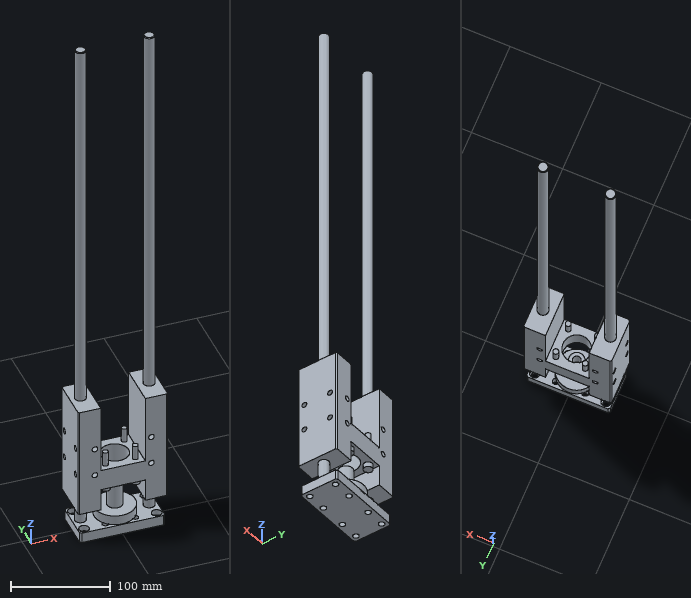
import cadquery as cq
import math

total_height = 597.0
rod_diameter = 12.0
rod_spacing = 74.0
rod_tip_diameter = 10.0
rod_tip_chamfer = (rod_diameter - rod_tip_diameter) / 2
drill_point_angle = 118

housing_width = 97.0
housing_depth = 49.0
housing_height = 126.5
housing_bottom = 37.0
pillar_width = 24.5
housing_edge_chamfer = 1.5
web_height_in_housing = 25.0
web_bottom = housing_bottom + web_height_in_housing
web_thickness = 24.0
web_bore_diameter = 30.0

screw_pitch = 32.0
screw_diameter = 6.0
screw_head_diameter = 10.0
screw_head_height = 6.0
screw_protrusion = 16.0

mount_hole_diameter = 6.0
mount_hole_depth = 9.0
mount_hole_pitch = screw_pitch
broad_hole_spacing = 61.0
mount_hole_low = 82.0

plate_length = 92.0
plate_depth = 46.0
plate_thickness = 12.0
plate_edge_chamfer = 2.0
flange_diameter = 44.0
flange_height = 11.0
stem_diameter = 17.0
stem_height = 28.5
stem_hole_diameter = 9.0
stem_hole_depth = 18.0
plate_hole_spacing_x = 78.0
plate_hole_spacing_y = screw_pitch
plate_hole_diameter = 6.5
plate_counterbore_diameter = 11.0
plate_counterbore_depth = 6.5

web_top = web_bottom + web_thickness
flange_top = plate_thickness + flange_height
stem_top = flange_top + stem_height
rod_centres = [(side * rod_spacing / 2, 0) for side in (-1, 1)]


def cylinders(centres, diameter, bottom, top):
    """Vertical cylinders of one diameter between two heights."""
    base = cq.Workplane("XY", origin=(0, 0, bottom))
    return base.pushPoints(centres).circle(diameter / 2).extrude(top - bottom)


def block(length, depth, bottom, height):
    """Box centred on the Z axis, standing at the given height."""
    return cq.Workplane("XY", origin=(0, 0, bottom)).rect(length, depth).extrude(height)


def grid(spacing_x, spacing_y):
    """Four centres at the corners of a rectangle."""
    return [(sx * spacing_x / 2, sy * spacing_y / 2) for sx in (-1, 1) for sy in (-1, 1)]


def drilled_hole(diameter, depth, start, direction):
    """Blind hole with a conical drill point beyond its full-diameter depth."""
    radius = diameter / 2
    point_length = radius / math.tan(math.radians(drill_point_angle / 2))
    shaft = cq.Solid.makeCylinder(radius, depth, start, direction)
    point = cq.Solid.makeCone(radius, 0, point_length, start + direction * depth, direction)
    return shaft.fuse(point)


def mounting_holes():
    """Blind holes in both broad faces and both end faces of the pillars."""
    radius = mount_hole_diameter / 2
    holes = []
    for z in (mount_hole_low, mount_hole_low + mount_hole_pitch):
        for side in (-1, 1):
            for sign in (-1, 1):
                broad_face = cq.Vector(sign * broad_hole_spacing / 2, side * housing_depth / 2, z)
                end_face = cq.Vector(side * housing_width / 2, sign * mount_hole_pitch / 2, z)
                along_y = cq.Vector(0, -side, 0)
                along_x = cq.Vector(-side, 0, 0)
                holes.append(cq.Solid.makeCylinder(radius, mount_hole_depth, broad_face, along_y))
                holes.append(cq.Solid.makeCylinder(radius, mount_hole_depth, end_face, along_x))
    return holes


def make_housing():
    """H-shaped housing with its four web screws."""
    gap = housing_width - 2 * pillar_width
    housing_top = housing_bottom + housing_height
    body = block(housing_width, housing_depth, housing_bottom, housing_height)
    body = body.edges("|Z").chamfer(housing_edge_chamfer)
    body = body.cut(block(gap, housing_depth, housing_bottom, web_bottom - housing_bottom))
    body = body.cut(block(gap, housing_depth, web_top, housing_top - web_top))
    body = body.cut(cylinders([(0, 0)], web_bore_diameter, web_bottom, web_top))
    body = body.cut(cylinders(rod_centres, rod_diameter, housing_bottom, housing_top))
    for hole in mounting_holes():
        body = body.cut(cq.Workplane(hole))
    screw_centres = grid(screw_pitch, screw_pitch)
    body = body.union(cylinders(screw_centres, screw_diameter, web_top, web_top + screw_protrusion))
    head_bottom = web_bottom - screw_head_height
    return body.union(cylinders(screw_centres, screw_head_diameter, head_bottom, web_bottom))


def make_carriage():
    """End plate with its guide rods and central coupling; small holes run under the flange rim."""
    body = block(plate_length, plate_depth, 0, plate_thickness)
    body = body.edges("|Z").chamfer(plate_edge_chamfer)
    corner_holes = grid(plate_hole_spacing_x, plate_hole_spacing_y)
    flange_holes = grid(screw_pitch, screw_pitch)
    body = body.cut(cylinders(corner_holes + flange_holes, plate_hole_diameter, 0, plate_thickness))
    counterbore_floor = plate_thickness - plate_counterbore_depth
    body = body.cut(cylinders(corner_holes, plate_counterbore_diameter, counterbore_floor, plate_thickness))
    rods = cylinders(rod_centres, rod_diameter, plate_thickness, total_height)
    body = body.union(rods.faces(">Z").edges().chamfer(rod_tip_chamfer))
    body = body.union(cylinders([(0, 0)], flange_diameter, plate_thickness, flange_top))
    body = body.union(cylinders([(0, 0)], stem_diameter, flange_top, stem_top))
    stem_end = cq.Vector(0, 0, stem_top)
    downward = cq.Vector(0, 0, -1)
    stem_hole = drilled_hole(stem_hole_diameter, stem_hole_depth, stem_end, downward)
    return body.cut(cq.Workplane(stem_hole))


housing = make_housing()
carriage = make_carriage()

result = cq.Compound.makeCompound([housing.val(), carriage.val()])